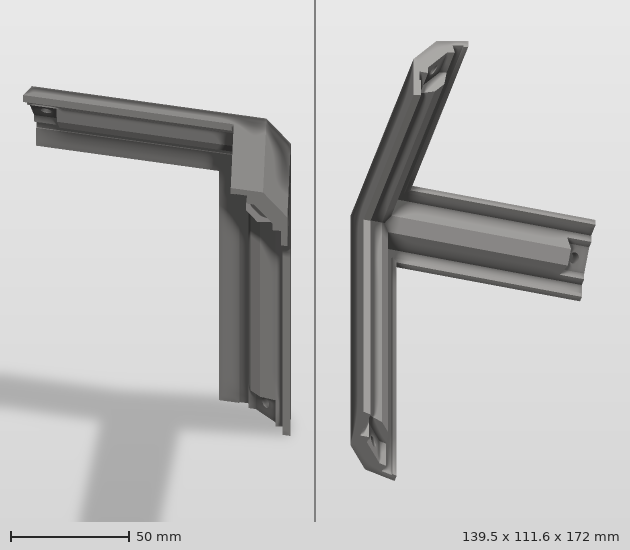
import cadquery as cq
import math

SIZE_X = 139.5
SIZE_Y = 111.6
SIZE_Z = 172.0

LEAN = 28.5

CORNER = cq.Vector(SIZE_X - LEAN, SIZE_Y, SIZE_Z - LEAN)

SIDE_ARM = cq.Vector(-1, 0, 0)
DOWN_ARM = cq.Vector(0, 0, -1)
SLOPING_ARM = cq.Vector(LEAN, -SIZE_Y, LEAN).normalized()

EDGE_BEVEL = 10.3
PAD_EDGE = 13.8
GROOVE_START = 17.0
STRAIGHT_CORE_EDGE = 14.3
SLOPING_CORE_EDGE = GROOVE_START
GROOVE_END = 21.8
BACK_FLANGE = 31.5
UPRIGHT_FLANGE = 24.8
SLOPING_FLANGE = 24.0

GROOVE_SKIN = 2.5
STRAIGHT_LIP = 3.3
SLOPING_LIP = 2.8
SHOULDER_DEPTH = 6.4
CORE_DEPTH = 12.9

RECESS_LENGTH = 12.9
HOLE_DIAMETER = 4.8
HOLE_DEPTH = 5.0

CORE_START = 6.9
CORE_ROOT_LENGTH = 20.6

CLEARANCE = 51.5
BLOCK_SIZE = 687.8


def across(arm, neighbour):
    """Unit vector square to the arm, in the flange shared with its neighbour."""
    return (neighbour - arm * neighbour.dot(arm)).normalized()


def section_points(first, second, first_length, second_length, core_edge, lip):
    """Points of the solid arm section, as vectors from its sharp outer edge."""
    cosine = first.dot(second)
    sine = math.sqrt(1 - cosine**2)

    def flange(along, other, length):
        inward = (other - along * cosine) / sine
        tip_slant = lip * cosine / sine
        stations = [
            (EDGE_BEVEL, 0),
            (length, 0),
            (length + tip_slant, lip),
            (GROOVE_END, lip),
            (GROOVE_END, GROOVE_SKIN),
            (GROOVE_START, GROOVE_SKIN),
            (GROOVE_START, SHOULDER_DEPTH),
            (core_edge, CORE_DEPTH),
            (PAD_EDGE, SHOULDER_DEPTH),
        ]
        return [along * s + inward * depth for s, depth in stations]

    *first_side, first_pad = flange(first, second, first_length)
    *second_side, second_pad = flange(second, first, second_length)
    shoulders = (first_side[-2], second_side[-2])
    outline = first_side + second_side[::-1]
    core_edges = (first_side[-1], second_side[-1])
    return outline, core_edges, shoulders, (first_pad, second_pad)


def prism(points, direction):
    """Solid swept from a flat outline of points along a direction."""
    wire = cq.Wire.makePolygon(points, close=True)
    return cq.Workplane(cq.Solid.extrudeLinear(wire, [], direction))


def half_space(origin, normal):
    """Large block on the side of a point that the normal points to."""
    plane = cq.Plane(origin=origin, normal=normal)
    return cq.Workplane(plane).rect(BLOCK_SIZE, BLOCK_SIZE).extrude(BLOCK_SIZE)


def make_arm(arm, neighbours, flange_lengths, core_edge, lip, end_normal, length):
    """Arm with its flanges, mitred at the corner and recessed at its free end."""
    first, second = (across(arm, other) for other in neighbours)
    outline, _, shoulders, pads = section_points(first, second, *flange_lengths, core_edge, lip)

    start = CORNER - arm * CLEARANCE
    body = prism([start + p for p in outline], arm * (length + 2 * CLEARANCE))
    for other in neighbours:
        body = body.intersect(half_space(CORNER, arm - other))
    end = CORNER + arm * length
    body = body.cut(half_space(end, end_normal))

    bisector = (first + second).normalized()
    pad_middle = (pads[0] + pads[1]) / 2
    pad_end = length - pad_middle.dot(end_normal) / arm.dot(end_normal)
    reach = bisector * CLEARANCE
    recess = [shoulders[0], pads[0], pads[1], shoulders[1], shoulders[1] + reach, shoulders[0] + reach]
    recess_start = CORNER + arm * (pad_end - RECESS_LENGTH)
    body = body.cut(prism([recess_start + p for p in recess], arm * CLEARANCE))

    hole_centre = CORNER + arm * (pad_end - RECESS_LENGTH / 2) + pad_middle
    hole = cq.Solid.makeCylinder(HOLE_DIAMETER / 2, HOLE_DEPTH, hole_centre, -bisector)
    return body.cut(cq.Workplane(hole))


def corner_tip():
    """Tip outside the flat facet that joins the three bevelled edges at the corner."""
    pairs = ((SIDE_ARM, DOWN_ARM), (DOWN_ARM, SLOPING_ARM), (SLOPING_ARM, SIDE_ARM))
    facet = [CORNER + (a + b) * (EDGE_BEVEL / a.cross(b).Length) for a, b in pairs]
    facet_normal = (facet[2] - facet[0]).cross(facet[1] - facet[0]).normalized()
    return half_space(facet[0], facet_normal)


def sloping_core_root():
    """Inner end of the sloping arm's core, embedded in the cores of the other arms."""
    first, second = across(SLOPING_ARM, SIDE_ARM), across(SLOPING_ARM, DOWN_ARM)
    _, core_edges, shoulders, pads = section_points(
        first, second, SLOPING_FLANGE, SLOPING_FLANGE, SLOPING_CORE_EDGE, SLOPING_LIP
    )
    core = [pads[0], shoulders[0], *core_edges, shoulders[1], pads[1]]
    start = CORNER + SLOPING_ARM * CORE_START
    return prism([start + p for p in core], SLOPING_ARM * CORE_ROOT_LENGTH)


STRAIGHT_FLANGES = (BACK_FLANGE, UPRIGHT_FLANGE)
side = make_arm(
    SIDE_ARM,
    (DOWN_ARM, SLOPING_ARM),
    STRAIGHT_FLANGES,
    STRAIGHT_CORE_EDGE,
    STRAIGHT_LIP,
    end_normal=SIDE_ARM,
    length=CORNER.x,
)
down = make_arm(
    DOWN_ARM,
    (SIDE_ARM, SLOPING_ARM),
    STRAIGHT_FLANGES,
    STRAIGHT_CORE_EDGE,
    STRAIGHT_LIP,
    end_normal=DOWN_ARM,
    length=CORNER.z,
)
sloping = make_arm(
    SLOPING_ARM,
    (SIDE_ARM, DOWN_ARM),
    (SLOPING_FLANGE, SLOPING_FLANGE),
    SLOPING_CORE_EDGE,
    SLOPING_LIP,
    end_normal=cq.Vector(0, -1, 0),
    length=math.hypot(LEAN, LEAN, SIZE_Y),
)

result = side.union(down).union(sloping).union(sloping_core_root()).cut(corner_tip()).clean()